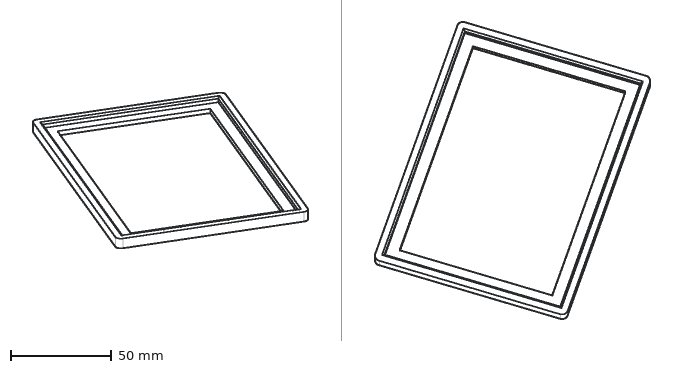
import cadquery as cq

LENGTH = 138.0
WIDTH = 101.0
HEIGHT = 5.5
CORNER_RADIUS = 3.0

WINDOW_LENGTH = 118.0
WINDOW_WIDTH = 80.0

RIM_WIDTH = 3.45
BEVEL_WIDTH = 1.0
BEVEL_DEPTH = 1.0
RECESS_DEPTH = 3.0

RECESS_WALL = RIM_WIDTH + BEVEL_WIDTH


def make_body():
    """Slab resting on Z = 0, with rounded vertical corners."""
    slab = cq.Workplane("XY").box(LENGTH, WIDTH, HEIGHT, centered=(True, True, False))
    return slab.edges("|Z").fillet(CORNER_RADIUS)


def make_window():
    """Rectangular opening through the full height."""
    return cq.Workplane("XY").rect(WINDOW_LENGTH, WINDOW_WIDTH).extrude(HEIGHT)


def make_recess():
    """Straight-walled recess that leaves a flat ledge around the window."""
    return (
        cq.Workplane("XY", origin=(0, 0, HEIGHT))
        .rect(LENGTH - 2 * RECESS_WALL, WIDTH - 2 * RECESS_WALL)
        .extrude(-RECESS_DEPTH)
    )


def make_bevel():
    """Tapered cutter that slopes from the rim down to the recess wall."""
    return (
        cq.Workplane("XY", origin=(0, 0, HEIGHT))
        .rect(LENGTH - 2 * RIM_WIDTH, WIDTH - 2 * RIM_WIDTH)
        .workplane(offset=-BEVEL_DEPTH)
        .rect(LENGTH - 2 * RECESS_WALL, WIDTH - 2 * RECESS_WALL)
        .loft(ruled=True)
    )


result = make_body().cut(make_window()).cut(make_recess()).cut(make_bevel())